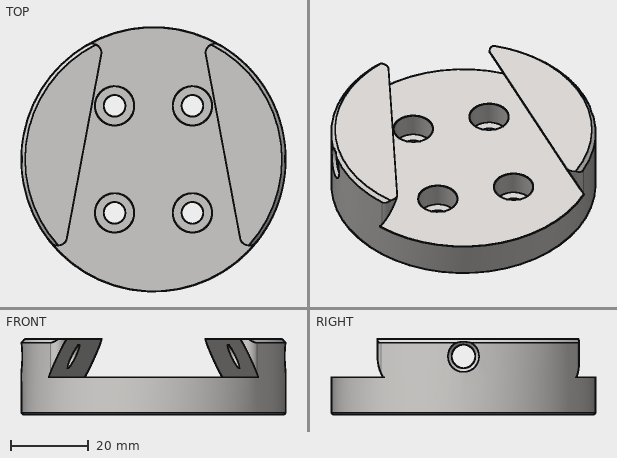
import cadquery as cq
import math

outer_diameter = 68.0
total_height = 19.5
top_chamfer = 1.0
bottom_chamfer = 0.5

floor_height = 9.7
slot_half_width = 18.4
taper_angle = 10.6
undercut_angle = 25.0
tip_radius = 2.5
edge_break = 0.1

hole_spacing_x = 20.0
hole_spacing_y = 27.5
screw_diameter = 5.5
counterbore_diameter = 10.0
counterbore_depth = 6.5

cross_diameter = 6.0
cross_height = 15.0
cross_chamfer = 1.0

outer_radius = outer_diameter / 2
jaw_height = total_height - floor_height
counterbore_floor = floor_height - counterbore_depth
taper_slope = math.tan(math.radians(taper_angle))
undercut_slope = math.tan(math.radians(undercut_angle)) / math.cos(math.radians(taper_angle))
floor_half_width = slot_half_width + jaw_height * undercut_slope


def cylinder(diameter, bottom, top):
    """Upright cylinder on the part axis between two heights."""
    return cq.Workplane("XY").workplane(offset=bottom).circle(diameter / 2).extrude(top - bottom)


def slot_outline(plane, half_width):
    """Draw a trapezoid longer than the disc, with the given half width on the X axis."""
    widening = outer_diameter * taper_slope
    wide = half_width + widening
    narrow = half_width - widening
    corners = [
        (-wide, -outer_diameter),
        (wide, -outer_diameter),
        (narrow, outer_diameter),
        (-narrow, outer_diameter),
    ]
    return plane.polyline(corners).close()


def make_slot():
    """Dovetail cutter that widens from the top face down to the slot floor."""
    floor_plane = cq.Workplane("XY").workplane(offset=floor_height)
    floor_outline = slot_outline(floor_plane, floor_half_width)
    return slot_outline(floor_outline.workplane(offset=jaw_height), slot_half_width).loft(ruled=True)


def make_jaw_blocks():
    """Two upright disc segments with rounded tips, standing on the slot floor."""
    floor_plane = cq.Workplane("XY").workplane(offset=floor_height)
    opening = slot_outline(floor_plane, slot_half_width).extrude(jaw_height)
    segments = cylinder(outer_diameter, floor_height, total_height).cut(opening)
    return segments.edges("|Z").fillet(tip_radius)


def make_rim_envelope():
    """Full-height disc with a chamfer on each rim."""
    disc = cylinder(outer_diameter, 0, total_height)
    disc = disc.faces(">Z").chamfer(top_chamfer)
    return disc.faces("<Z").chamfer(bottom_chamfer)


def cut_cross_hole(body):
    """Hole along X through both jaws, with chamfers that follow the curved outer wall."""
    disc = cylinder(outer_diameter, 0, total_height).rotate((0, 0, 0), (0, 0, 1), 90)
    drill = (
        cq.Workplane("YZ")
        .center(0, cross_height)
        .circle(cross_diameter / 2)
        .extrude(outer_diameter, both=True)
    )
    drilled_disc = disc.cut(drill)
    for mouth_x in (-outer_radius, outer_radius):
        mouth = cq.selectors.NearestToPointSelector((mouth_x, 0, cross_height))
        drilled_disc = drilled_disc.edges(mouth).chamfer(cross_chamfer)
    return body.cut(disc.cut(drilled_disc))


def break_slot_edges(body):
    """Chamfer the sharp top edges of the jaws and the rim of the slot floor."""
    body = body.faces(">Z").edges("%LINE").chamfer(edge_break)
    floor = body.faces(cq.selectors.NearestToPointSelector((0, 0, floor_height)))
    return floor.edges("%CIRCLE").chamfer(edge_break)


def cut_mounting_holes(body):
    """Four screw holes with counterbores whose rims are slightly chamfered."""
    rim_radius = counterbore_diameter / 2 + edge_break
    profile = [
        (0, 0),
        (screw_diameter / 2, 0),
        (screw_diameter / 2, counterbore_floor),
        (counterbore_diameter / 2, counterbore_floor),
        (counterbore_diameter / 2, floor_height - edge_break),
        (rim_radius, floor_height),
        (0, floor_height),
    ]
    cutter = cq.Workplane("XZ").polyline(profile).close().revolve(360, (0, 0), (0, 1))
    for side_x in (-1, 1):
        for side_y in (-1, 1):
            position = (side_x * hole_spacing_x / 2, side_y * hole_spacing_y / 2, 0)
            body = body.cut(cutter.translate(position))
    return body


body = cylinder(outer_diameter, 0, floor_height).union(make_jaw_blocks())
body = body.intersect(make_rim_envelope()).cut(make_slot())
body = break_slot_edges(body)
body = cut_cross_hole(body)
result = cut_mounting_holes(body)